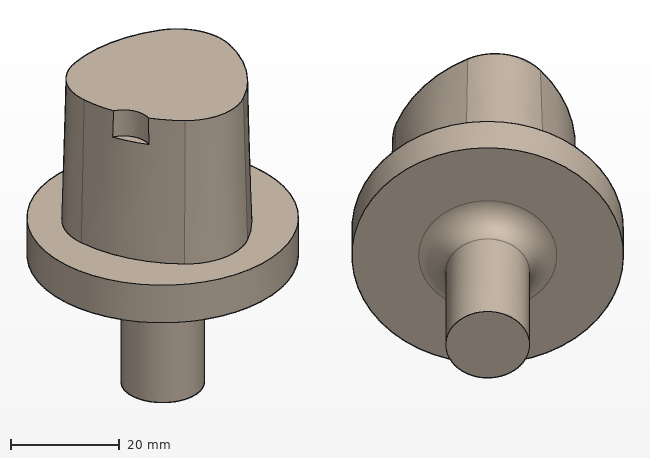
import cadquery as cq
import math

total_height = 65.0
flange_thickness = 8.0
head_height = 30.0
shank_length = total_height - flange_thickness - head_height

shank_diameter = 15.4
flange_diameter = 50.0
shank_fillet = 5.0

lobe_count = 3
lobe_radius = 11.7
lobe_reach = 18.65
flank_reach = 16.3
head_inset = 0.8
first_lobe_angle = 90.0

notch_radius = 5.0
notch_reach = 13.9
notch_depth = 5.5


def polar(radius, angle):
    return (radius * math.cos(math.radians(angle)), radius * math.sin(math.radians(angle)))


def make_head_outline(plane):
    """Closed outline of lobe and flank arcs, tangent to each other."""
    lobe_offset = lobe_reach - lobe_radius
    reach_difference = flank_reach - lobe_radius
    flank_offset = (lobe_offset**2 - reach_difference**2) / (2 * reach_difference - lobe_offset)

    half_pitch = 180.0 / lobe_count
    flank_x, flank_y = polar(-flank_offset, half_pitch)
    contact_direction = math.atan2(-flank_y, lobe_offset - flank_x)
    contact_x = lobe_offset + lobe_radius * math.cos(contact_direction)
    contact_y = lobe_radius * math.sin(contact_direction)
    contact_reach = math.hypot(contact_x, contact_y)
    contact_angle = math.degrees(math.atan2(contact_y, contact_x))

    pitch = 2 * half_pitch
    outline = plane.moveTo(*polar(contact_reach, first_lobe_angle - contact_angle))
    for index in range(lobe_count):
        crest = first_lobe_angle + index * pitch
        outline = outline.threePointArc(
            polar(lobe_reach, crest),
            polar(contact_reach, crest + contact_angle),
        )
        outline = outline.threePointArc(
            polar(flank_reach, crest + half_pitch),
            polar(contact_reach, crest + pitch - contact_angle),
        )
    return outline.close()


def make_base():
    """Round shank blended into the flange above it."""
    shank_radius = shank_diameter / 2
    flange_radius = flange_diameter / 2
    flange_top = shank_length + flange_thickness
    fillet_middle = shank_fillet * (1 - math.sqrt(0.5))
    half_section = (
        cq.Workplane("XZ")
        .lineTo(shank_radius, 0)
        .lineTo(shank_radius, shank_length - shank_fillet)
        .threePointArc(
            (shank_radius + fillet_middle, shank_length - fillet_middle),
            (shank_radius + shank_fillet, shank_length),
        )
        .lineTo(flange_radius, shank_length)
        .lineTo(flange_radius, flange_top)
        .lineTo(0, flange_top)
        .close()
    )
    return half_section.revolve(360, (0, 0), (0, 1))


def make_head():
    """Tapered three-lobed head standing on the flange."""
    taper_angle = math.degrees(math.atan(head_inset / head_height))
    plane = cq.Workplane("XY").workplane(offset=shank_length + flange_thickness)
    return make_head_outline(plane).extrude(head_height, taper=taper_angle)


def make_notch():
    """Cylinder that cuts the notch from the top of the head."""
    return (
        cq.Workplane("XY")
        .workplane(offset=total_height - notch_depth)
        .center(0, -(notch_reach + notch_radius))
        .circle(notch_radius)
        .extrude(notch_depth)
    )


result = make_base().union(make_head()).cut(make_notch())